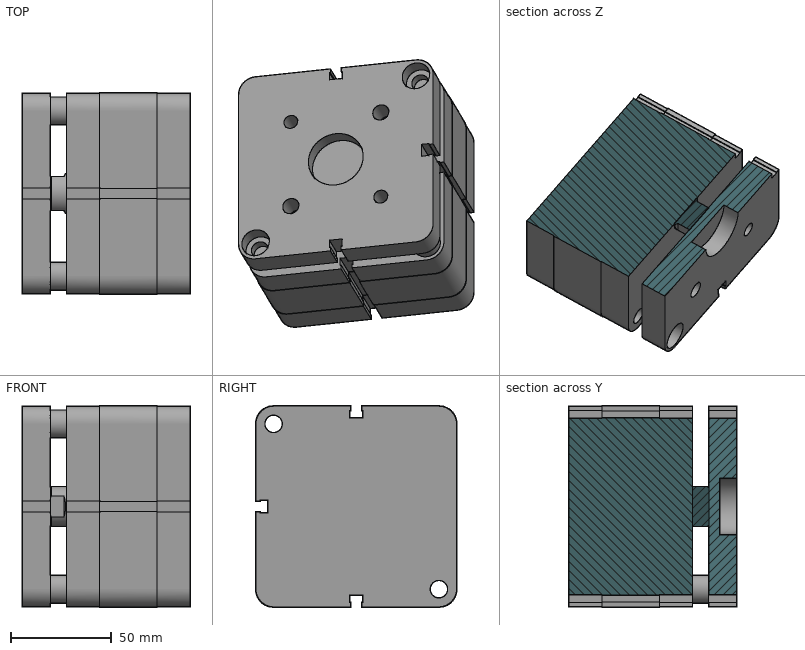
import cadquery as cq
import math


plate_thickness = 14.0
gap_length = 8.0
front_cap_length = 16.5
barrel_length = 28.5
end_cap_length = 16.5
housing_start = plate_thickness + gap_length
barrel_start = housing_start + front_cap_length
end_cap_start = barrel_start + barrel_length

barrel_side = 100.0
corner_center = 41.0
section_inset = 0.25

slot_opening = 5.0
slot_inner_width = 6.0
slot_lip_depth = 2.6
slot_depth = 5.9
slot_turns = (0, 90, 180)

rod_diameter = 20.0
rod_chamfer = 0.5
rod_flat_spacing = 17.0
rod_flat_length = 6.7
rod_flat_runout = 30.0

guide_rod_diameter = 14.0
guide_rod_places = [(corner_center, corner_center), (-corner_center, -corner_center)]
bolt_places = [(corner_center, -corner_center), (-corner_center, corner_center)]
bolt_hole_diameter = 8.5
bolt_head_diameter = 14.0

recess_depth = 8.5
center_recess_diameter = 28.0
hole_offset = 23.0
thread_hole_diameter = 8.2
thread_hole_places = [(-hole_offset, hole_offset), (hole_offset, -hole_offset)]
dowel_hole_diameter = 7.0
dowel_hole_places = [(hole_offset, hole_offset), (-hole_offset, -hole_offset)]


def cylinders(x_start, length, diameter, places):
    """Cylinders along +X at the given (Y, Z) places."""
    plane = cq.Workplane("YZ", origin=(x_start, 0, 0))
    return plane.pushPoints(places).circle(diameter / 2).extrude(length)


def slot_cutter(x_start, length, inset):
    """T-slot opening towards +Z, grown by the inset of the section it cuts."""
    half_side = barrel_side / 2
    neck_width = slot_opening + 2 * inset
    inner_width = slot_inner_width + 2 * inset
    floor = half_side - slot_depth - inset
    lip = half_side - slot_lip_depth + inset
    plane = cq.Workplane("YZ", origin=(x_start, 0, 0))
    neck = plane.center(0, (floor + half_side) / 2).rect(neck_width, half_side - floor).extrude(length)
    chamber = plane.center(0, (floor + lip) / 2).rect(inner_width, lip - floor).extrude(length)
    return neck.union(chamber)


def slotted_block(x_start, length, inset):
    """Square block with rounded corners and three T-slots, inset from the barrel profile."""
    side = barrel_side - 2 * inset
    corner_radius = side / 2 - corner_center
    block = cq.Workplane("YZ", origin=(x_start, 0, 0)).rect(side, side).extrude(length)
    block = block.edges("|X").fillet(corner_radius)
    cutter = slot_cutter(x_start, length, inset)
    for turn in slot_turns:
        block = block.cut(cutter.rotate((0, 0, 0), (1, 0, 0), turn))
    return block


def make_yoke_plate():
    plate = slotted_block(0, plate_thickness, section_inset)
    plate = plate.cut(cylinders(0, recess_depth, center_recess_diameter, [(0, 0)]))
    plate = plate.cut(cylinders(0, recess_depth, bolt_head_diameter, bolt_places))
    plate = plate.cut(cylinders(0, plate_thickness, bolt_hole_diameter, bolt_places))
    plate = plate.cut(cylinders(0, plate_thickness, thread_hole_diameter, thread_hole_places))
    return plate.cut(cylinders(0, plate_thickness, dowel_hole_diameter, dowel_hole_places))


def make_housing():
    front_cap = slotted_block(housing_start, front_cap_length, section_inset)
    barrel = slotted_block(barrel_start, barrel_length, 0)
    end_cap = slotted_block(end_cap_start, end_cap_length, section_inset)
    housing = front_cap.union(barrel).union(end_cap)
    housing_length = front_cap_length + barrel_length + end_cap_length
    return housing.cut(cylinders(housing_start, housing_length, bolt_hole_diameter, bolt_places))


def make_piston_rod():
    """Rod across the gap, with two wrench flats on its Y sides."""
    rod = cylinders(plate_thickness, gap_length, rod_diameter, [(0, 0)])
    rod = rod.faces("<X").chamfer(rod_chamfer)
    flat = rod_flat_spacing / 2
    outside = rod_diameter / 2
    flat_end = plate_thickness + rod_flat_length
    runout_end = flat_end + (outside - flat) * math.tan(math.radians(rod_flat_runout))
    flat_cutter = (
        cq.Workplane("XY")
        .moveTo(plate_thickness, flat)
        .lineTo(flat_end, flat)
        .lineTo(runout_end, outside)
        .lineTo(plate_thickness, outside)
        .close()
        .extrude(rod_diameter / 2, both=True)
    )
    return rod.cut(flat_cutter).cut(flat_cutter.mirror("XZ"))


def make_guide_rod(place):
    """Rod across the gap, between the yoke plate and the housing."""
    return cylinders(plate_thickness, gap_length, guide_rod_diameter, [place])


yoke_plate = make_yoke_plate()
housing = make_housing()
piston_rod = make_piston_rod()
guide_rods = [make_guide_rod(place).val() for place in guide_rod_places]

result = cq.Compound.makeCompound([yoke_plate.val(), housing.val(), piston_rod.val(), *guide_rods])